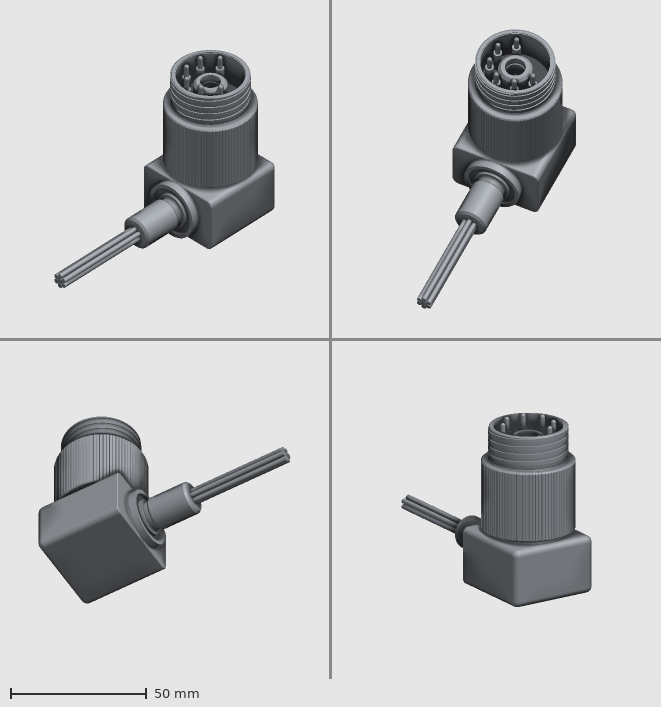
import cadquery as cq
import math

block_width = 34.9
block_height = 22.2
block_round = 2.4
block_edge_break = 0.3
front_face_y = -block_width / 2

outlet_z = 11.2
flange_diameter = 2 * (block_height - outlet_z)
flange_end_y = -20.8
flange_root_flare = 0.3
recess_diameter = 19.0
recess_depth = 1.2
recess_floor_chamfer = 0.2
collar_diameter = 14.0
neck_diameter = 11.1
neck_flare = 0.4
gland_diameter = 12.7
gland_start_y = -23.0
gland_end_y = -39.8
gland_chamfer = 0.9

cable_end_y = -79.6
strand_count = 6
strand_diameter = 1.9
strand_circle_radius = 2.1
core_diameter = 2.4

ring_diameter = 34.9
ring_bottom_z = 24.0
ring_top_z = 50.65
ring_chamfer = 0.5
groove_count = 90
groove_width = 0.3
groove_depth = 0.4
groove_phase = 0.25
sleeve_diameter = 29.1
sleeve_top_z = 63.7
sleeve_flare = 0.5
sleeve_rim_chamfer = 0.3
relief_diameter = 28.9
bore_diameter = 25.8
bore_chamfer = 0.3
thread_diameter = 29.8
thread_pitch = 2.9
thread_bottom_z = 53.1
thread_root_width = 1.8
thread_crest_width = 1.6
thread_sink = 0.3

shoulder_diameter = 28.5
shoulder_flare = 0.6
floor_z = 50.65
pin_top_z = 65.1
pin_diameter = 1.9
pin_circle_radius = 9.5
pin_first_angle = 112.5
pin_spacing_angle = 45.0
pin_count = 6
pin_sleeve_diameter = 3.2
pin_sleeve_top_z = 59.7
boss_diameter = 12.7
boss_top_z = 60.2
boss_chamfer = 1.1
socket_diameter = 7.8
socket_ledge_z = 57.15
socket_inner_diameter = 7.0
center_contact_diameter = 2.9
center_contact_top_z = 53.4
center_hole_diameter = 1.3


def upright(diameter, bottom_z, top_z):
    """Cylinder along Z on the connector axis."""
    return cq.Workplane("XY", origin=(0, 0, bottom_z)).circle(diameter / 2).extrude(top_z - bottom_z)


def rod_along_outlet(diameter, start_y, end_y, x=0.0, z_offset=0.0):
    """Cylinder running toward -Y, placed relative to the outlet axis."""
    start = cq.Workplane("XZ", origin=(x, start_y, outlet_z + z_offset))
    return start.circle(diameter / 2).extrude(start_y - end_y)


def flare(diameter, base_z, size):
    """45 degree cone at the root of an upright cylinder."""
    radius = diameter / 2
    return (
        cq.Workplane("XZ")
        .polyline([(0, base_z), (radius + size, base_z), (radius, base_z + size), (0, base_z + size)])
        .close()
        .revolve(360, (0, 0, 0), (0, 1, 0))
    )


def outlet_flare(diameter, base_y, size):
    """45 degree cone at the root of a cylinder along the outlet axis."""
    cone = flare(diameter, 0, size).rotate((0, 0, 0), (1, 0, 0), 90)
    return cone.translate((0, base_y, outlet_z))


def make_block():
    """Block with rounded long and rear edges and a slight edge break at the front."""
    block = cq.Workplane("XY").box(block_width, block_width, block_height, centered=(True, True, False))
    block = block.edges("|Y").fillet(block_round)
    block = block.faces(">Y").edges().fillet(block_round)
    return block.faces("<Y").edges().chamfer(block_edge_break)


def make_flange():
    """Round flange with a ring groove in its face, trimmed level with the top and bottom of the block."""
    flange = rod_along_outlet(flange_diameter, front_face_y, flange_end_y)
    flange = flange.union(outlet_flare(flange_diameter, front_face_y, flange_root_flare))
    recess_floor_y = flange_end_y + recess_depth
    groove = rod_along_outlet(recess_diameter, recess_floor_y, flange_end_y)
    groove = groove.cut(rod_along_outlet(collar_diameter, recess_floor_y, flange_end_y))
    groove = groove.faces(">Y").edges().chamfer(recess_floor_chamfer)
    level_slab = cq.Workplane("XY", origin=(0, flange_end_y, 0)).box(
        block_width, block_width, block_height, centered=(True, True, False)
    )
    return flange.cut(groove).intersect(level_slab)


def make_gland():
    """Necked cable gland, chamfered at both ends."""
    neck = rod_along_outlet(neck_diameter, flange_end_y, gland_start_y)
    neck_root = outlet_flare(neck_diameter, flange_end_y, neck_flare)
    gland = rod_along_outlet(gland_diameter, gland_start_y, gland_end_y)
    gland = gland.faces("<Y or >Y").edges().chamfer(gland_chamfer)
    return neck.union(neck_root).union(gland)


def make_cable():
    """Core with a ring of thinner strands that merge slightly into it."""
    cable = rod_along_outlet(core_diameter, gland_end_y, cable_end_y)
    for index in range(strand_count):
        angle = math.radians(90 + index * 360 / strand_count)
        x = strand_circle_radius * math.cos(angle)
        z_offset = strand_circle_radius * math.sin(angle)
        cable = cable.union(rod_along_outlet(strand_diameter, gland_end_y, cable_end_y, x, z_offset))
    return cable


def make_pin():
    """Domed contact pin standing in its insulating sleeve."""
    sleeve = upright(pin_sleeve_diameter, floor_z, pin_sleeve_top_z)
    pin = upright(pin_diameter, floor_z, pin_top_z - pin_diameter / 2)
    dome = cq.Workplane("XY", origin=(0, 0, pin_top_z - pin_diameter / 2)).sphere(pin_diameter / 2)
    return sleeve.union(pin).union(dome)


def make_boss():
    """Central boss with a stepped socket around a hollow contact."""
    boss = upright(boss_diameter, floor_z, boss_top_z).faces(">Z").edges().chamfer(boss_chamfer)
    boss = boss.cut(upright(socket_diameter, socket_ledge_z, boss_top_z))
    boss = boss.cut(upright(socket_inner_diameter, floor_z, socket_ledge_z))
    contact = upright(center_contact_diameter, floor_z, center_contact_top_z)
    contact = contact.cut(upright(center_hole_diameter, floor_z, center_contact_top_z))
    return boss.union(contact)


def make_housing():
    """Block, cable outlet and contact insert as one solid that carries the coupling."""
    housing = make_block().union(make_flange()).union(make_gland()).union(make_cable())
    housing = housing.union(upright(shoulder_diameter, block_height, ring_bottom_z))
    housing = housing.union(flare(shoulder_diameter, block_height, shoulder_flare))
    housing = housing.union(upright(bore_diameter, ring_bottom_z, floor_z)).union(make_boss())
    pin = make_pin()
    for index in range(pin_count):
        angle = math.radians(pin_first_angle + index * pin_spacing_angle)
        place = (pin_circle_radius * math.cos(angle), pin_circle_radius * math.sin(angle), 0)
        housing = housing.union(pin.translate(place))
    return housing


def make_knurled_ring():
    """Ring with V grooves that are groove_width wide at its surface."""
    ring = upright(ring_diameter, ring_bottom_z, ring_top_z).edges().chamfer(ring_chamfer)
    outer_radius = ring_diameter / 2
    groove = (
        cq.Workplane("XY", origin=(0, 0, ring_bottom_z))
        .polyline([
            (outer_radius - groove_depth, 0),
            (outer_radius + groove_depth, -groove_width),
            (outer_radius + groove_depth, groove_width),
        ])
        .close()
        .extrude(ring_top_z - ring_bottom_z)
    )
    grooves = [
        groove.rotate((0, 0, 0), (0, 0, 1), (index + groove_phase) * 360 / groove_count).val()
        for index in range(groove_count)
    ]
    return ring.cut(cq.Workplane(cq.Compound.makeCompound(grooves)))


def make_thread():
    """Right-handed helical ridge, trimmed flat at both ends of the threaded length."""
    root_radius = sleeve_diameter / 2 - thread_sink
    crest_radius = thread_diameter / 2
    start_z = thread_bottom_z - thread_pitch
    helix = cq.Wire.makeHelix(thread_pitch, sleeve_top_z - start_z + thread_pitch, root_radius)
    ridge = (
        cq.Workplane("XZ")
        .polyline([
            (root_radius, -thread_root_width / 2),
            (crest_radius, -thread_crest_width / 2),
            (crest_radius, thread_crest_width / 2),
            (root_radius, thread_root_width / 2),
        ])
        .close()
        .sweep(cq.Workplane(helix), isFrenet=True)
        .translate((0, 0, start_z))
    )
    trim_diameter = 2 * thread_diameter
    return ridge.intersect(upright(trim_diameter, thread_bottom_z, sleeve_top_z - sleeve_rim_chamfer))


def make_coupling():
    """Knurled ring with a threaded sleeve, bored through to fit over the contact insert."""
    sleeve = upright(sleeve_diameter, thread_bottom_z, sleeve_top_z)
    sleeve = sleeve.faces(">Z").edges().chamfer(sleeve_rim_chamfer)
    relief = upright(relief_diameter, ring_top_z, thread_bottom_z)
    relief = relief.union(flare(relief_diameter, ring_top_z, sleeve_flare))
    coupling = make_knurled_ring().union(relief).union(sleeve).union(make_thread())
    coupling = coupling.cut(upright(bore_diameter, ring_bottom_z, sleeve_top_z))
    lead_in = upright(bore_diameter + 2 * bore_chamfer, sleeve_top_z - bore_chamfer, sleeve_top_z)
    return coupling.cut(lead_in)


housing = make_housing()
coupling = make_coupling()
result = cq.Compound.makeCompound([housing.val(), coupling.val()])